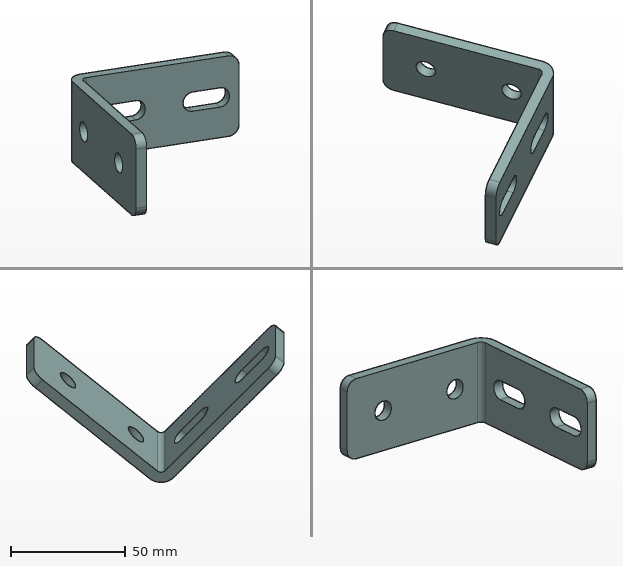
import cadquery as cq

leg_length = 80.0
width = 38.0
thickness = 5.0

inner_bend_radius = 2.5
outer_bend_radius = inner_bend_radius + thickness
corner_radius = 5.0

opening_width = 9.0
opening_spacing = 40.0
first_hole_x = 20.0
slot_length = 22.0
first_slot_y = 24.5
mid_height = width / 2


def bent_strip():
    """L-shaped strip with one leg along X and one along Y."""
    profile = (
        cq.Workplane("XY")
        .moveTo(0, 0)
        .lineTo(leg_length, 0)
        .lineTo(leg_length, thickness)
        .lineTo(thickness, thickness)
        .lineTo(thickness, leg_length)
        .lineTo(0, leg_length)
        .close()
    )
    strip = profile.extrude(width)
    strip = strip.edges("|Z").edges(cq.NearestToPointSelector((0, 0, mid_height))).fillet(outer_bend_radius)
    inner_corner = cq.NearestToPointSelector((thickness, thickness, mid_height))
    return strip.edges("|Z").edges(inner_corner).fillet(inner_bend_radius)


def round_free_ends(strip):
    """Round the upper and lower corners at the end of each leg."""
    strip = strip.faces(">X").edges("|Y").fillet(corner_radius)
    return strip.faces(">Y").edges("|X").fillet(corner_radius)


def round_holes():
    """Cutters through the leg along X."""
    centers = [(first_hole_x + i * opening_spacing, mid_height) for i in range(2)]
    return cq.Workplane("XZ").pushPoints(centers).circle(opening_width / 2).extrude(-thickness)


def slots():
    """Lengthwise cutters through the leg along Y."""
    centers = [(first_slot_y + i * opening_spacing, mid_height) for i in range(2)]
    return cq.Workplane("YZ").pushPoints(centers).slot2D(slot_length, opening_width).extrude(thickness)


result = round_free_ends(bent_strip()).cut(round_holes()).cut(slots())